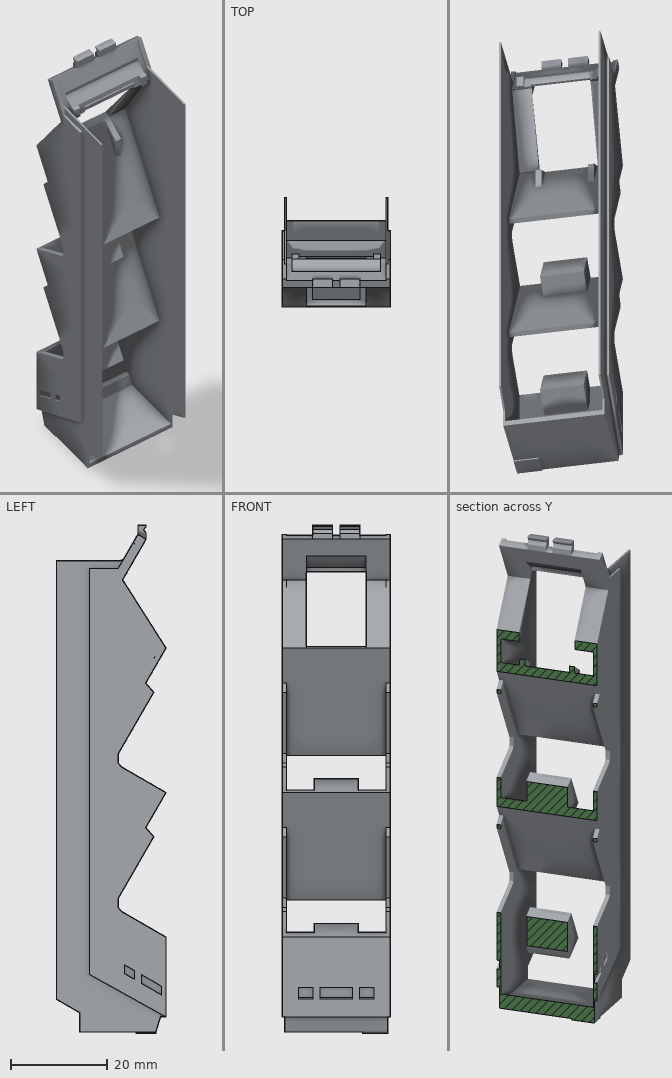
import math

import cadquery as cq

width = 22.5
depth = 22.76
height = 105.49

half_width = width / 2
skin_half = 10.7
inner_half = 10.3

bay_pitch = 30.0
first_peak_z = 20.0
bay_count = 2
top_peak_z = first_peak_z + bay_count * bay_pitch

lean = math.radians(30)
run = math.tan(lean)
rise = 1 / run
sheet_thickness = 1.1
sheet_length = 25.8

notch_y = 4.2
flare_y = 2.54
flare_drop = 9.18
throat_y = 9.9
throat_bottom = 6.1
throat_chamfer_y = 0.7

wing_tip_y = 4.13
wing_tip_z = 102.6
wing_valley_y = 9.0
wing_valley_z = wing_tip_z - (wing_valley_y - wing_tip_y) * rise
wing_thickness = 1.65
cheek_thickness = 2.0
plate_thickness = 1.3
plate_run = wing_valley_y / (wing_valley_z - top_peak_z)
wing_foot_y = 9.8
wing_foot_z = 95.4

outer_back_y = 15.9
outer_top_z = 96.55
outer_back_bottom_z = 12.25
outer_front_bottom_z = 3.4
skin_top_z = 98.14
skin_back_bottom_z = 7.08

foot_back_y = 17.95
foot_back_z = skin_back_bottom_z - (depth - foot_back_y) * run
foot_bottom_z = 0.3
foot_front_y = 2.1
foot_shoulder_y = 1.1
foot_shoulder_z = 3.6
floor_thickness = 1.2
front_wall = 1.75
pad_back_y = 6.2
pad_left_x = 5.4

catch_half = 4.6
catch_thickness = 5.75
catch_length = 8.0

window_half = 6.2
window_top_z = 99.06
window_bottom_z = 80.35
window_bottom_y = (window_bottom_z - top_peak_z) * plate_run
window_start = 1.0
window_reach = 14.0
sill_back_y = 5.75
pocket_half = 4.9

lintel_half = 9.15
lintel_front_y = 7.45
lintel_edge_y = 10.0
lintel_back_y = 10.5
lintel_top_z = 99.3
groove_height = 1.5
lip_front_y = 9.9
lip_bottom_z = 95.8
lip_top_z = 96.8
ear_inner_x = 7.7
ear_back_y = 11.0

clip_inner_x = 0.75
clip_outer_x = 4.9
clip_back_y = 5.84
clip_nick_y = 4.65
clip_nick_z = 104.6
clip_lip_z = 105.2
clip_shoulder_z = 103.8

recess_depth = half_width - skin_half
front_recess_bottom_z = 7.2
front_recess_top_z = 9.5
front_recess_spans = ((-7.86, -4.8), (-3.42, 3.42), (4.8, 7.86))
side_recess_spans = ((0.95, 5.1), (6.6, 8.65))
side_recess_base_z = 7.45
side_recess_height = 1.8


def prism(points, x_start, x_end):
    """Extrude a closed (Y, Z) outline from x_start to x_end."""
    return cq.Workplane("YZ", origin=(x_start, 0, 0)).polyline(points).close().extrude(x_end - x_start)


def leaning_slab(peak_z, thickness, length):
    """Outline of a slab running down and back from a front edge, ends square to it."""
    back_y = thickness * math.cos(lean)
    back_z = peak_z + thickness * math.sin(lean)
    drop_y = length * math.sin(lean)
    drop_z = length * math.cos(lean)
    return [(0, peak_z), (back_y, back_z), (back_y + drop_y, back_z - drop_z), (drop_y, peak_z - drop_z)]


def wing_back_y(z, thickness):
    """Depth of the wing's back face at height z."""
    return wing_tip_y + (wing_tip_z - z) * run + thickness / math.cos(lean)


def wing_end(thickness):
    """Back corner of the wing's tip, square to its faces."""
    return (wing_tip_y + thickness * math.cos(lean), wing_tip_z + thickness * math.sin(lean))


def front_zigzag():
    """Front edge of the side walls from the wing tip down to the lowest front edge."""
    points = [(wing_tip_y, wing_tip_z), (wing_valley_y, wing_valley_z)]
    for bay in range(bay_count):
        peak_z = top_peak_z - bay * bay_pitch
        next_peak_z = peak_z - bay_pitch
        flare_z = peak_z - flare_drop
        chamfer_y = throat_y - throat_chamfer_y
        points += [
            (0, peak_z),
            (notch_y, peak_z - notch_y * rise),
            (flare_y, flare_z),
            (throat_y, flare_z - (throat_y - flare_y) * rise),
            (throat_y, next_peak_z + throat_bottom),
            (chamfer_y, next_peak_z + chamfer_y * run),
        ]
    return points + [(0, first_peak_z)]


def side_wall():
    """Wall on the +X side: outer skin in front, inner skin reaching back and down."""
    zigzag = front_zigzag()
    outer = zigzag + [
        (0, outer_front_bottom_z),
        (outer_back_y, outer_back_bottom_z),
        (outer_back_y, outer_top_z),
        (wing_back_y(outer_top_z, cheek_thickness), outer_top_z),
        wing_end(cheek_thickness),
    ]
    inner = zigzag + [
        (0, outer_front_bottom_z),
        (foot_shoulder_y, foot_shoulder_z),
        (foot_front_y, foot_bottom_z),
        (foot_back_y, foot_bottom_z),
        (foot_back_y, foot_back_z),
        (depth, skin_back_bottom_z),
        (depth, skin_top_z),
        (wing_back_y(skin_top_z, cheek_thickness), skin_top_z),
        wing_end(cheek_thickness),
    ]
    return prism(outer, inner_half, half_width).union(prism(inner, inner_half, skin_half))


def bay_sheet(peak_z):
    """Leaning back sheet of one bay, spanning between the side walls."""
    outline = leaning_slab(peak_z, sheet_thickness, sheet_length)
    return prism(outline, -inner_half, inner_half)


def catch(peak_z):
    """Solid catch block behind a front edge, standing up above it."""
    outline = leaning_slab(peak_z, catch_thickness, catch_length)
    return prism(outline, -catch_half, catch_half)


def foot():
    """Front wall and floor closing the lower end, with a thin pad under one corner."""
    front = [
        (0, first_peak_z),
        (front_wall, first_peak_z + front_wall * run),
        (front_wall, outer_front_bottom_z),
        (0, outer_front_bottom_z),
    ]
    floor_top_z = foot_bottom_z + floor_thickness
    base = [
        (foot_shoulder_y, foot_shoulder_z),
        (foot_front_y, foot_bottom_z),
        (foot_back_y, foot_bottom_z),
        (foot_back_y, floor_top_z),
        (foot_front_y + front_wall, floor_top_z),
        (foot_shoulder_y + front_wall, foot_shoulder_z),
    ]
    pad = [(foot_front_y, 0), (pad_back_y, 0), (pad_back_y, floor_top_z), (foot_front_y, floor_top_z)]
    return (
        prism(front, -inner_half, inner_half)
        .union(prism(base, -inner_half, inner_half))
        .union(prism(pad, pad_left_x, skin_half))
    )


def wing():
    """Leaning wing and the sloped plate that joins it to the top front edge."""
    plate_back = plate_thickness * math.hypot(1, plate_run)
    outline = [
        wing_end(wing_thickness),
        (wing_tip_y, wing_tip_z),
        (wing_valley_y, wing_valley_z),
        (0, top_peak_z),
        (plate_back, top_peak_z),
        (wing_foot_y, wing_foot_z),
        (wing_back_y(wing_foot_z, wing_thickness), wing_foot_z),
    ]
    return prism(outline, -inner_half, inner_half)


def window():
    """Cutter for the window, running square to the sloped plate."""
    fall = window_reach * plate_run
    front_y = window_bottom_y - window_start
    top_z = window_top_z + (wing_back_y(window_top_z, 0) - front_y) * plate_run
    bottom_z = window_bottom_z + window_start * plate_run
    outline = [
        (front_y, bottom_z),
        (front_y, top_z),
        (front_y + window_reach, top_z - fall),
        (front_y + window_reach, bottom_z - fall),
    ]
    return prism(outline, -window_half, window_half)


def window_rib():
    """Rib under one end of the window sill, standing on the back of the top sheet."""
    outline = [
        (window_bottom_y, window_bottom_z),
        (sill_back_y, window_bottom_z - (sill_back_y - window_bottom_y) * plate_run),
        (sill_back_y, top_peak_z - sill_back_y * rise),
        (0, top_peak_z),
    ]
    return prism(outline, pocket_half, window_half)


def lintel_floor_z(y):
    """Height of the lintel's top face, which falls towards the back."""
    return lintel_top_z - (y - lintel_front_y) * run


def wing_groove():
    """Cutter that sinks the top face of the lintel into the back of the wing."""
    outline = [
        (lintel_front_y, lintel_top_z),
        (lintel_edge_y, lintel_floor_z(lintel_edge_y)),
        (lintel_edge_y, lintel_floor_z(lintel_edge_y) + groove_height),
        (lintel_front_y, lintel_top_z + groove_height),
    ]
    return prism(outline, -lintel_half, lintel_half)


def lintel():
    """Bar across the back of the wing, over the window."""
    outline = [
        (lintel_front_y, lintel_top_z),
        (lintel_edge_y, lintel_floor_z(lintel_edge_y)),
        (lintel_back_y, wing_foot_z),
        (wing_foot_y, wing_foot_z),
    ]
    return prism(outline, -lintel_half, lintel_half)


def lintel_lip():
    """Lip hanging from the back of the lintel, just behind the top of the window."""
    outline = [
        (lip_front_y, lip_bottom_z),
        (lintel_back_y, lip_bottom_z),
        (lintel_back_y, lip_top_z),
        (lip_front_y, lip_top_z),
    ]
    return prism(outline, -window_half, window_half)


def lintel_ear():
    """Ear projecting from the back of the lintel at one end."""
    outline = [
        (lintel_edge_y, lintel_floor_z(lintel_edge_y)),
        (ear_back_y, lintel_floor_z(lintel_edge_y)),
        (ear_back_y, wing_foot_z),
        (lintel_edge_y, wing_foot_z),
    ]
    return prism(outline, ear_inner_x, lintel_half)


def clip():
    """Clip standing on the wing tip, with a nick in its front face."""
    outline = [
        (wing_tip_y, wing_tip_z),
        (wing_tip_y, clip_shoulder_z),
        (clip_nick_y, clip_nick_z),
        (wing_tip_y, clip_lip_z),
        (wing_tip_y, height),
        (clip_back_y, height),
        (clip_back_y, clip_shoulder_z),
        wing_end(wing_thickness),
    ]
    return prism(outline, clip_inner_x, clip_outer_x)


def front_recess(x_start, x_end):
    """Cutter for a front recess whose floor rises towards the back."""
    outline = [
        (0, front_recess_bottom_z),
        (recess_depth, front_recess_bottom_z + recess_depth * run),
        (recess_depth, front_recess_top_z),
        (0, front_recess_top_z),
    ]
    return prism(outline, x_start, x_end)


def side_recess(y_start, y_end):
    """Cutter for a slanted recess in the +X side face."""
    start_z = side_recess_base_z + y_start * run
    end_z = side_recess_base_z + y_end * run
    outline = [
        (y_start, start_z),
        (y_end, end_z),
        (y_end, end_z + side_recess_height),
        (y_start, start_z + side_recess_height),
    ]
    return prism(outline, skin_half, half_width)


def both_sides(shape):
    """A shape together with its mirror image across the middle plane."""
    return shape.union(shape.mirror("YZ"))


result = both_sides(side_wall()).union(foot()).union(wing())

for bay_index in range(bay_count):
    lower_peak_z = first_peak_z + bay_index * bay_pitch
    result = result.union(bay_sheet(lower_peak_z + bay_pitch)).union(catch(lower_peak_z))

result = result.cut(wing_groove()).union(lintel()).union(both_sides(lintel_ear()))
result = result.cut(window()).union(lintel_lip()).union(both_sides(window_rib()))
result = result.union(both_sides(clip()))

for span in front_recess_spans:
    result = result.cut(front_recess(*span))
for span in side_recess_spans:
    result = result.cut(both_sides(side_recess(*span)))